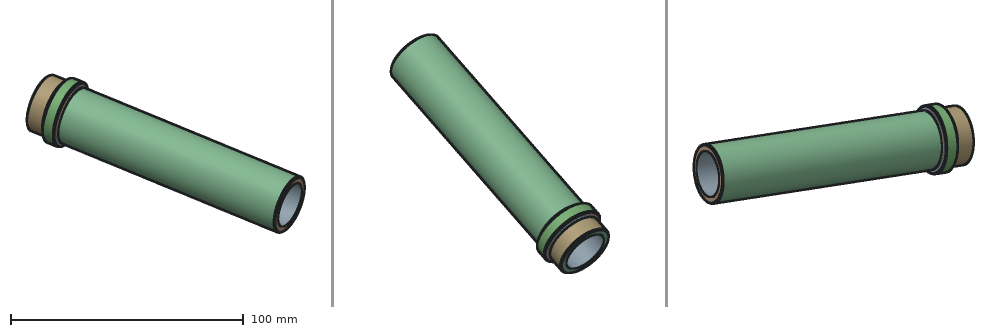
import cadquery as cq

length = 124.0
sleeve_radius = 26.0 / 2
bore_radius = 20.0 / 2

collar_radius = 30.0 / 2
collar_start = 9.0
collar_width = 6.0
collar_chamfer = 0.5

groove_radius = 0.5

end_chamfer = 0.5

start_x = -length / 2


def make_sleeve():
    return cq.Workplane("YZ", origin=(start_x, 0, 0)).circle(sleeve_radius).extrude(length)


def chamfer_ends(sleeve):
    return sleeve.faces("<X or >X").edges().chamfer(end_chamfer)


def make_collar():
    collar = (
        cq.Workplane("YZ", origin=(start_x + collar_start, 0, 0))
        .circle(collar_radius)
        .extrude(collar_width)
    )
    return collar.edges().chamfer(collar_chamfer)


def make_groove(centre_distance):
    return cq.Workplane(
        cq.Solid.makeTorus(
            sleeve_radius,
            groove_radius,
            cq.Vector(start_x + centre_distance, 0, 0),
            cq.Vector(1, 0, 0),
        )
    )


def make_bore():
    return cq.Workplane("YZ", origin=(start_x, 0, 0)).circle(bore_radius).extrude(length)


result = chamfer_ends(make_sleeve()).union(make_collar())
groove_centres = (
    collar_start - groove_radius,
    collar_start + collar_width + groove_radius,
)
for groove_centre in groove_centres:
    result = result.cut(make_groove(groove_centre))
result = result.cut(make_bore())